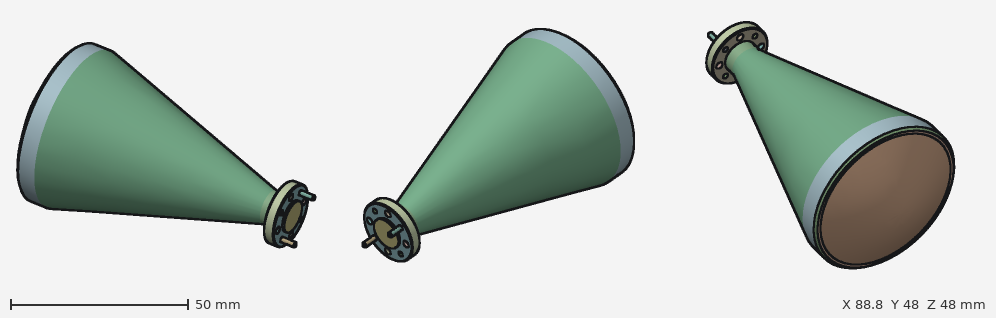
import cadquery as cq
import math

TOTAL_LENGTH = 88.8

LENS_RADIUS = 22.2
LENS_HEIGHT = 7.7
LENS_CONIC = 2.3
LENS_SAMPLES = 8

RIM_RADIUS = 48.0 / 2
RIM_LENGTH = 6.2
RIM_CHAMFER = 0.8
CONE_LENGTH = 63.1
NECK_RADIUS = 5.15
NECK_LENGTH = 3.7

FLANGE_RADIUS = 9.5
FLANGE_THICKNESS = 3.4
FLANGE_CHAMFER = 0.3
BOSS_RADIUS = 4.8
BOSS_HEIGHT = 0.7

BOLT_CIRCLE_RADIUS = 7.1
SCREW_HOLE_DIAMETER = 2.1
SCREW_ANGLES = (0, 90, 180, 270)
PIN_DIAMETER = 1.6
PIN_CHAMFER = 0.3
PIN_ANGLES = (45, 225)
DOWEL_HOLE_DIAMETER = 1.6
DOWEL_HOLE_ANGLES = (135, 315)

RIM_START = LENS_HEIGHT
CONE_START = RIM_START + RIM_LENGTH
NECK_START = CONE_START + CONE_LENGTH
FLANGE_START = NECK_START + NECK_LENGTH
FLANGE_END = FLANGE_START + FLANGE_THICKNESS
BOSS_END = FLANGE_END + BOSS_HEIGHT


def revolve_about_x(profile):
    """Revolve a closed (x, radius) profile around the X axis."""
    return profile.revolve(360, (0, 0, 0), (1, 0, 0))


def rod(angle, diameter, start, end):
    """Cylinder along X on the bolt circle, at an angle measured from +Y to +Z."""
    y = BOLT_CIRCLE_RADIUS * math.cos(math.radians(angle))
    z = BOLT_CIRCLE_RADIUS * math.sin(math.radians(angle))
    return (
        cq.Workplane("YZ", origin=(start, 0, 0))
        .center(y, z)
        .circle(diameter / 2)
        .extrude(end - start)
    )


def lens_depth(radius):
    """Axial distance from the apex to the hyperbolic surface at a radius."""
    linear = (LENS_RADIUS**2 - LENS_CONIC * LENS_HEIGHT**2) / LENS_HEIGHT
    return (math.sqrt(linear**2 + 4 * LENS_CONIC * radius**2) - linear) / (2 * LENS_CONIC)


def make_lens():
    radii = [LENS_RADIUS * i / LENS_SAMPLES for i in range(LENS_SAMPLES + 1)]
    front = [(lens_depth(radius), radius) for radius in radii]
    profile = cq.Workplane("XZ").spline(front).lineTo(LENS_HEIGHT, 0).close()
    return revolve_about_x(profile)


def make_flange():
    flange = (
        cq.Workplane("YZ", origin=(FLANGE_START, 0, 0))
        .circle(FLANGE_RADIUS)
        .extrude(FLANGE_THICKNESS)
        .edges()
        .chamfer(FLANGE_CHAMFER)
    )
    boss = cq.Workplane("YZ", origin=(FLANGE_END, 0, 0)).circle(BOSS_RADIUS).extrude(BOSS_HEIGHT)
    flange = flange.union(boss)
    for angle in SCREW_ANGLES:
        flange = flange.cut(rod(angle, SCREW_HOLE_DIAMETER, FLANGE_START, FLANGE_END))
    for angle in DOWEL_HOLE_ANGLES:
        flange = flange.cut(rod(angle, DOWEL_HOLE_DIAMETER, FLANGE_START, FLANGE_END))
    for angle in PIN_ANGLES:
        flange = flange.cut(rod(angle, PIN_DIAMETER, FLANGE_START, FLANGE_END))
    return flange


def make_horn():
    profile = (
        cq.Workplane("XZ")
        .moveTo(RIM_START, 0)
        .lineTo(RIM_START, RIM_RADIUS - RIM_CHAMFER)
        .lineTo(RIM_START + RIM_CHAMFER, RIM_RADIUS)
        .lineTo(CONE_START, RIM_RADIUS)
        .lineTo(NECK_START, NECK_RADIUS)
        .lineTo(FLANGE_START, NECK_RADIUS)
        .lineTo(FLANGE_START, 0)
        .close()
    )
    return revolve_about_x(profile).union(make_flange())


def make_pin(angle):
    """Dowel pin, flush with the back of the flange and chamfered at its free end."""
    return rod(angle, PIN_DIAMETER, FLANGE_START, TOTAL_LENGTH).faces(">X").chamfer(PIN_CHAMFER)


lens = make_lens()
horn = make_horn()
pins = [make_pin(angle) for angle in PIN_ANGLES]

result = cq.Compound.makeCompound([lens.val(), horn.val(), *[pin.val() for pin in pins]])